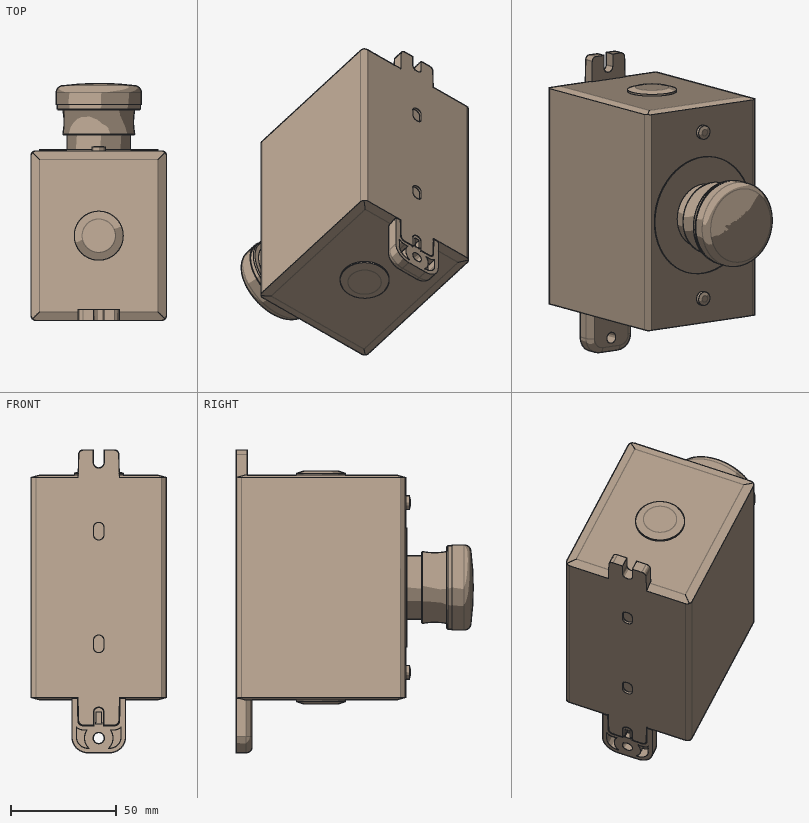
import cadquery as cq
import math

body_width = 64.0
body_depth = 80.1
body_height = 106.1
corner_radius = 2.5
bevel_inset = 4.1
bevel_drop = 1.1

back_slot_width = 5.0
back_slot_length = 8.3
back_slot_offset = 26.6
back_slot_depth = 1.1

plate_diameter = 56.0
plate_thickness = 0.6
screw_diameter = 6.6
screw_height = 2.1
screw_chamfer_height = 0.5
screw_chamfer_inset = 1.7
screw_offset = 40.0
neck_radius = 15.0
neck_end = 87.5
skirt_radius = 17.0
skirt_waist = 16.5
skirt_chamfer = 0.5
skirt_end = 99.4
head_radius = 20.2
head_rim_radius = 19.7
head_rim_chamfer = 0.6
head_rim_end = 102.0
head_side_end = 107.5
crown_radius = 17.6
crown_start = 110.8
button_end = 112.0

cap_diameter = 23.2
cap_top_diameter = 15.7
cap_height = 2.0
cap_chamfer_height = 1.1

tongue_end = 64.9
tongue_thickness = 5.3
tongue_root_width = 19.7
tongue_tip_width = 18.9
tongue_corner_radius = 2.1
tongue_slot_width = 5.0
tongue_slot_bottom = 56.5

overall_height = 143.0
foot_end = overall_height - tongue_end
foot_width = 25.5
foot_thickness = 7.6
foot_corner_radius = 7.7
foot_front_fillet = 2.9
foot_top_gap = 0.5
foot_hole_diameter = 5.1
foot_hole_z = -71.0
tongue_gap = 0.36
key_gap = 0.1
key_pocket_width = 2.5
key_pocket_top = -58.8
key_pocket_bottom = -64.4
key_pocket_sill_width = 3.3
key_pocket_sill_height = 0.6
key_pocket_depth = 2.9
side_pocket_margin = 2.1
side_pocket_hole_clearance = 6.7
side_pocket_tongue_clearance = 2.3

half_height = body_height / 2
body_edge_z = half_height - bevel_drop
root_z = half_height - bevel_inset
foot_top = -body_edge_z - foot_top_gap


def on_back(y=0):
    """Sketch plane at Y = y, parallel to the back face; negative extrusions run toward +Y."""
    return cq.Workplane("XZ", origin=(0, y, 0))


def make_enclosure():
    """Box with rounded upright corners and shallow bevels around both ends."""
    block = cq.Workplane("XY").box(body_width, body_depth, body_height).translate((0, body_depth / 2, 0))
    rounded = block.edges("|Z").fillet(corner_radius)
    bevelled = block
    for direction in (1, -1):
        bevelled = bevelled.intersect(make_bevel_envelope(direction))
    return rounded.intersect(bevelled)


def make_bevel_envelope(direction):
    """Block whose end toward +Z (1) or -Z (-1) tapers in by the bevel on all four sides."""
    bevel_start = cq.Workplane("XY", origin=(0, body_depth / 2, direction * body_edge_z))
    taper = (
        bevel_start.rect(body_width, body_depth)
        .workplane(offset=direction * bevel_drop)
        .rect(body_width - 2 * bevel_inset, body_depth - 2 * bevel_inset)
        .loft(ruled=True)
    )
    straight = bevel_start.rect(body_width, body_depth).extrude(-direction * (body_edge_z + half_height))
    return straight.union(taper)


def make_cap():
    """Chamfered round cap standing on the +Z face."""
    chamfer_inset = (cap_diameter - cap_top_diameter) / 2
    return (
        cq.Workplane("XY", origin=(0, body_depth / 2, half_height))
        .circle(cap_diameter / 2)
        .extrude(cap_height)
        .faces(">Z")
        .chamfer(cap_chamfer_height, chamfer_inset)
    )


def make_screw(z):
    """Low screw head on the +Y face."""
    return (
        on_back(body_depth)
        .center(0, z)
        .circle(screw_diameter / 2)
        .extrude(-screw_height)
        .faces(">Y")
        .chamfer(screw_chamfer_height, screw_chamfer_inset)
    )


def make_button():
    """Mushroom button with its base plate, revolved about the Y axis."""
    plate_end = body_depth + plate_thickness
    crown_rise = button_end - crown_start
    crown_sphere = (crown_radius**2 + crown_rise**2) / (2 * crown_rise)
    crown_middle = button_end - crown_sphere + math.sqrt(crown_sphere**2 - (crown_radius / 2) ** 2)
    return (
        cq.Workplane("XY")
        .moveTo(0, body_depth)
        .lineTo(plate_diameter / 2, body_depth)
        .lineTo(plate_diameter / 2, plate_end)
        .lineTo(neck_radius, plate_end)
        .lineTo(neck_radius, neck_end)
        .lineTo(skirt_radius - skirt_chamfer, neck_end)
        .lineTo(skirt_radius, neck_end + skirt_chamfer)
        .threePointArc((skirt_waist, (neck_end + skirt_end) / 2), (skirt_radius, skirt_end))
        .lineTo(head_rim_radius - head_rim_chamfer, skirt_end)
        .lineTo(head_rim_radius, skirt_end + head_rim_chamfer)
        .lineTo(head_rim_radius, head_rim_end)
        .lineTo(head_radius, head_rim_end)
        .lineTo(head_radius, head_side_end)
        .tangentArcPoint((crown_radius, crown_start), relative=False)
        .threePointArc((crown_radius / 2, crown_middle), (0, button_end))
        .close()
        .revolve(360, (0, 0, 0), (0, 1, 0))
    )


def make_tongue_blank(margin=0):
    """Tapered upper tongue with rounded tip corners, grown outward by the margin."""
    root_half = tongue_root_width / 2 + margin
    tip_half = tongue_tip_width / 2 + margin
    tip_z = tongue_end + margin
    return (
        on_back()
        .polyline([(-root_half, root_z), (root_half, root_z), (tip_half, tip_z), (-tip_half, tip_z)])
        .close()
        .extrude(-tongue_thickness)
        .edges("|Y and >Z")
        .fillet(tongue_corner_radius + margin)
    )


def make_tongue_slot(margin=0):
    """Open, round-bottomed slot at the upper tongue's tip, pulled inward by the margin."""
    slot_radius = tongue_slot_width / 2 - margin
    arc_bottom = tongue_slot_bottom + margin
    arc_end = arc_bottom + slot_radius
    open_end = tongue_end + tongue_gap
    return (
        on_back()
        .moveTo(-slot_radius, open_end)
        .lineTo(-slot_radius, arc_end)
        .threePointArc((0, arc_bottom), (slot_radius, arc_end))
        .lineTo(slot_radius, open_end)
        .close()
        .extrude(-tongue_thickness)
    )


def make_foot_blank(margin, thickness):
    """Foot outline with rounded lower corners, pulled inward by the margin."""
    bottom_z = margin - foot_end
    return (
        on_back()
        .center(0, (foot_top + bottom_z) / 2)
        .rect(foot_width - 2 * margin, foot_top - bottom_z)
        .extrude(-thickness)
        .edges("|Y and <Z")
        .fillet(foot_corner_radius - margin)
    )


def make_side_pockets():
    """Crescent recesses either side of the foot's hole, clear of the hole and the tongue."""
    hole_land = on_back().center(0, foot_hole_z).circle(side_pocket_hole_clearance).extrude(-tongue_thickness)
    tongue_land = make_tongue_blank(side_pocket_tongue_clearance).mirror("XY")
    return make_foot_blank(side_pocket_margin, tongue_thickness).cut(hole_land).cut(tongue_land)


def make_key_pocket():
    """Blind pocket in the key, widened by a short sill at its lower end."""
    upright = (
        on_back()
        .center(0, (key_pocket_top + key_pocket_bottom) / 2)
        .rect(key_pocket_width, key_pocket_top - key_pocket_bottom)
        .extrude(-key_pocket_depth)
    )
    sill = (
        on_back()
        .center(0, key_pocket_bottom + key_pocket_sill_height / 2)
        .rect(key_pocket_sill_width, key_pocket_sill_height)
        .extrude(-key_pocket_depth)
    )
    return upright.union(sill)


def make_foot():
    """Foot around the lower tongue, whose outline shows as a narrow groove; a key fills its slot."""
    foot = make_foot_blank(0, foot_thickness).faces(">Y").edges("not >Z").fillet(foot_front_fillet)
    slotted_tongue = make_tongue_blank().cut(make_tongue_slot())
    key = make_tongue_slot(key_gap)
    groove = make_tongue_blank(tongue_gap).cut(slotted_tongue).cut(key).mirror("XY")
    hole = on_back().center(0, foot_hole_z).circle(foot_hole_diameter / 2).extrude(-foot_thickness)
    return foot.cut(groove).cut(make_side_pockets()).cut(hole).cut(make_key_pocket())


def make_back_slots():
    """Two upright blind slots in the back face."""
    return (
        on_back()
        .pushPoints([(0, -back_slot_offset), (0, back_slot_offset)])
        .slot2D(back_slot_length, back_slot_width, 90)
        .extrude(-back_slot_depth)
    )


body = make_enclosure().union(make_button())
for screw_z in (-screw_offset, screw_offset):
    body = body.union(make_screw(screw_z))
cap = make_cap()
body = body.union(cap).union(cap.mirror("XY"))
tongue = make_tongue_blank().cut(make_tongue_slot())
body = body.union(tongue).union(tongue.mirror("XY"))
result = body.union(make_foot()).cut(make_back_slots())